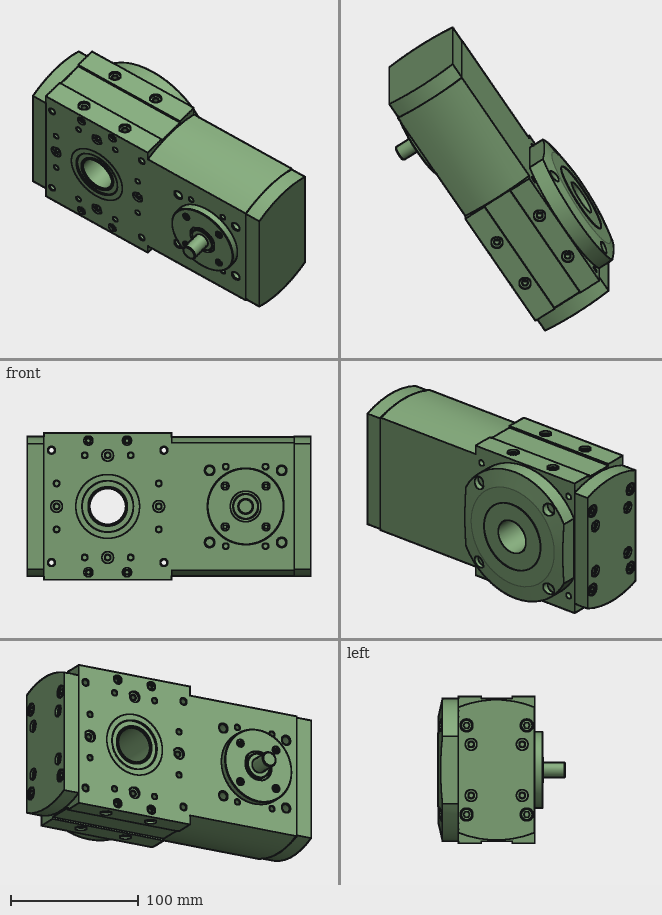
import cadquery as cq
total_length = 222.0
depth = 60.0

block_width = 100.0
block_height = 115.0
groove_width = 24.0
groove_depth = 1.5
arm_apex = 54.6
arm_corner = 50.0

cap_length = 13.0
cap_apex = 54.8
cap_corner = 49.0
cap_front_inset = 0.5
left_end = -block_width / 2 - cap_length
right_end = left_end + total_length
right_cap_start = right_end - cap_length
cap_screw_y = 23.5
cap_screw_z = 34.9
screw_bore_diameter = 10.0
screw_head_diameter = 8.5
screw_head_drop = 0.9
screw_bore_depth = 4.9
socket_across_corners = 4.9
socket_depth = 2.2

hub_diameter = 50.0
hub_recess_diameter = 40.0
hub_recess_depth = 1.3
hub_recess_chamfer = 0.2
hub_bore_diameter = 28.0
hub_collar_diameter = 30.9
hub_bore_chamfer = 0.9
flange_diameter = 111.9
flange_width = 98.8
flange_rim_height = 12.5
flange_face_height = 15.5
flange_face_diameter = 84.0
flange_boss_diameter = 57.0
flange_boss_height = 16.0
flange_hole_offset = 35.0
flange_hole_diameter = 10.0
flange_hole_depth = 6.7

drive_x = 108.0
drive_flange_diameter = 60.0
drive_flange_height = 6.0
drive_flange_chamfer = 0.5
drive_groove_diameter = 24.0
drive_groove_depth = 2.2
drive_boss_diameter = 20.0
drive_boss_height = 6.5
drive_boss_chamfer = 0.5
shaft_diameter = 12.0
shaft_reach = 23.5
shaft_chamfer = 0.7

thread_diameter = 4.2
thread_mouth = 4.9
thread_depth = 10.0
small_thread_diameter = 3.3
small_thread_mouth = 4.2
through_diameter = 4.9
through_mouth = 6.0
sleeve_diameter = 9.0
small_sleeve_diameter = 7.0
sleeve_depth = 2.0
dowel_diameter = 6.7
dowel_mouth = 8.0
dowel_depth = 10.0

corner_hole_offset = 44.0
ring_offset = 40.0
ring_side_offset = 18.0
edge_hole_x = 15.0
edge_hole_z = 51.5
face_sleeve_offset = 20.0
drive_screw_offset = 16.0
drive_screw_diameter = 6.0
drive_screw_recess_depth = 0.9
drive_socket_across_corners = 3.3
drive_dowel_offset = 28.2
drive_thread_x = 15.5
drive_thread_z = 31.0


def four_signs(u, v):
    """The four points (+-u, +-v)."""
    return [(su * u, sv * v) for su in (1, -1) for sv in (1, -1)]


inward = cq.Vector(0, 1, 0)


def front_point(x, z):
    """A point on the front face of the housing."""
    return cq.Vector(x, 0, z)


def mouthed_hole(point, direction, diameter, mouth, length):
    """A flat-bottomed hole with a 45 degree chamfer at its mouth."""
    bore = cq.Solid.makeCylinder(diameter / 2, length, point, direction)
    chamfer = cq.Solid.makeCone(mouth / 2, diameter / 2, (mouth - diameter) / 2, point, direction)
    return bore.fuse(chamfer)


def threaded_hole(point, direction):
    return mouthed_hole(point, direction, thread_diameter, thread_mouth, thread_depth)


def sleeve_hole(point, direction):
    """A threaded hole at the floor of a shallow counterbore for a centring sleeve."""
    counterbore = cq.Solid.makeCylinder(sleeve_diameter / 2, sleeve_depth, point, direction)
    return threaded_hole(point + direction * sleeve_depth, direction).fuse(counterbore)


def small_sleeve_hole(point, direction):
    """A narrower sleeve hole with a smaller thread."""
    counterbore = cq.Solid.makeCylinder(small_sleeve_diameter / 2, sleeve_depth, point, direction)
    floor = point + direction * sleeve_depth
    thread = mouthed_hole(floor, direction, small_thread_diameter, small_thread_mouth, thread_depth)
    return thread.fuse(counterbore)


def front_disc(x, diameter, start, end):
    """A round disc along Y at X = x, between Y = start and Y = end."""
    return cq.Workplane("XZ", origin=(x, start, 0)).circle(diameter / 2).extrude(start - end)


def curved_profile(start_x, length, front, apex, corner):
    """A bar along X whose top and bottom faces are shallow arcs."""
    middle = depth / 2
    return (
        cq.Workplane("YZ", origin=(start_x, 0, 0))
        .moveTo(front, -corner)
        .lineTo(front, corner)
        .threePointArc((middle, apex), (depth, corner))
        .lineTo(depth, -corner)
        .threePointArc((middle, -apex), (front, -corner))
        .close()
        .extrude(length)
    )



def gear_block():
    block = cq.Workplane("XY").box(block_width, depth, block_height).translate((0, depth / 2, 0))
    for side in (1, -1):
        groove = cq.Workplane("XY").box(block_width, groove_width, 2 * groove_depth)
        block = block.cut(groove.translate((0, depth / 2, side * block_height / 2)))
    return block


def drive_flange():
    """Round flange with an annular groove around the shaft shoulder, and the shaft."""
    flange = front_disc(drive_x, drive_flange_diameter, 0, -drive_flange_height)
    flange = flange.faces("<Y").chamfer(drive_flange_chamfer)
    groove_floor = drive_groove_depth - drive_flange_height
    groove = front_disc(drive_x, drive_groove_diameter, groove_floor, -drive_flange_height)
    shoulder = front_disc(drive_x, drive_boss_diameter, groove_floor, -drive_boss_height)
    shoulder = shoulder.faces("<Y").chamfer(drive_boss_chamfer)
    shaft = front_disc(drive_x, shaft_diameter, -drive_boss_height, -shaft_reach)
    shaft = shaft.faces("<Y").chamfer(shaft_chamfer)
    return flange.cut(groove).union(shoulder).union(shaft)


def block_holes():
    """Holes in the front face of the gear block."""
    holes = []
    for x, z in four_signs(corner_hole_offset, corner_hole_offset):
        holes.append(mouthed_hole(front_point(x, z), inward, through_diameter, through_mouth, depth))
    threads = four_signs(ring_offset, ring_side_offset) + four_signs(ring_side_offset, ring_offset)
    holes += [threaded_hole(front_point(x, z), inward) for x, z in threads]
    for x, z in four_signs(edge_hole_x, edge_hole_z):
        holes.append(small_sleeve_hole(front_point(x, z), inward))
    for x, z in [(ring_offset, 0), (-ring_offset, 0), (0, ring_offset), (0, -ring_offset)]:
        holes.append(sleeve_hole(front_point(x, z), inward))
    return holes


def rail_holes():
    """Sleeve holes in the top and bottom faces of the gear block."""
    holes = []
    for x, y in four_signs(face_sleeve_offset, face_sleeve_offset):
        for side in (1, -1):
            point = cq.Vector(x, depth / 2 + y, side * block_height / 2)
            holes.append(sleeve_hole(point, cq.Vector(0, 0, -side)))
    return holes


def drive_holes():
    """Dowel holes and threaded holes around the drive flange."""
    holes = []
    for x, z in four_signs(drive_dowel_offset, drive_dowel_offset):
        point = front_point(drive_x + x, z)
        holes.append(mouthed_hole(point, inward, dowel_diameter, dowel_mouth, dowel_depth))
    for x, z in four_signs(drive_thread_x, drive_thread_z):
        holes.append(threaded_hole(front_point(drive_x + x, z), inward))
    return holes


def drive_screw_recesses():
    """Shallow round recess over a hexagon socket for each screw of the drive flange."""
    recesses = []
    recess_y = -drive_flange_height
    floor_y = recess_y + drive_screw_recess_depth
    for x, z in four_signs(drive_screw_offset, drive_screw_offset):
        recess = front_disc(drive_x + x, drive_screw_diameter, recess_y, floor_y)
        socket = cq.Workplane("XZ", origin=(drive_x + x, floor_y, z))
        socket = socket.polygon(6, drive_socket_across_corners).extrude(-socket_depth)
        recesses.append(recess.translate((0, 0, z)).union(socket).val())
    return recesses


def make_housing():
    arm = curved_profile(0, right_cap_start, 0, arm_apex, arm_corner)
    housing = gear_block().union(arm).union(drive_flange())
    housing = housing.cut(front_disc(0, hub_diameter, 0, depth))
    holes = block_holes() + rail_holes() + drive_holes() + drive_screw_recesses()
    return housing.cut(cq.Compound.makeCompound(holes))




def cap_blank(start_x):
    return curved_profile(start_x, cap_length, cap_front_inset, cap_apex, cap_corner)


def make_screwed_cap():
    """Left cap: socket screw heads sunk in counterbores, and four sleeve holes."""
    cap = cap_blank(left_end)
    screw_spots = four_signs(cap_screw_y, cap_screw_z)
    head_height = screw_bore_depth - screw_head_drop

    def on_cap(x):
        return cq.Workplane("YZ", origin=(x, depth / 2, 0)).pushPoints(screw_spots)

    floor_x = left_end + screw_bore_depth
    head_x = left_end + screw_head_drop
    cap = cap.cut(on_cap(left_end).circle(screw_bore_diameter / 2).extrude(screw_bore_depth))
    cap = cap.union(on_cap(floor_x).circle(screw_head_diameter / 2).extrude(-head_height))
    cap = cap.cut(on_cap(head_x).polygon(6, socket_across_corners).extrude(socket_depth))
    for y, z in four_signs(face_sleeve_offset, face_sleeve_offset):
        point = cq.Vector(left_end, depth / 2 + y, z)
        cap = cap.cut(cq.Workplane(sleeve_hole(point, cq.Vector(1, 0, 0))))
    return cap


def make_plain_cap():
    return cap_blank(right_cap_start)




def make_hub():
    """Hollow hub through the housing with a tapered flange against the back face."""
    bore_radius = hub_bore_diameter / 2
    collar_radius = hub_collar_diameter / 2
    recess_radius = hub_recess_diameter / 2
    back = depth + flange_boss_height
    hub = (
        cq.Workplane("XY")
        .polyline(
            [
                (bore_radius, hub_bore_chamfer),
                (bore_radius + hub_bore_chamfer, 0),
                (collar_radius, 0),
                (collar_radius, hub_recess_depth),
                (recess_radius, hub_recess_depth),
                (recess_radius, hub_recess_chamfer),
                (recess_radius + hub_recess_chamfer, 0),
                (hub_diameter / 2, 0),
                (hub_diameter / 2, depth),
                (flange_diameter / 2, depth),
                (flange_diameter / 2, depth + flange_rim_height),
                (flange_face_diameter / 2, depth + flange_face_height),
                (flange_boss_diameter / 2, depth + flange_face_height),
                (flange_boss_diameter / 2, back),
                (bore_radius, back),
            ]
        )
        .close()
        .revolve(360, (0, 0, 0), (0, 1, 0))
    )
    side_limit = cq.Workplane("XY").box(flange_width, 2 * back, flange_diameter)
    hub = hub.intersect(side_limit)
    face_y = depth + flange_face_height
    for x, z in four_signs(flange_hole_offset, flange_hole_offset):
        hole = cq.Workplane("XZ", origin=(x, face_y, z)).circle(flange_hole_diameter / 2)
        hub = hub.cut(hole.extrude(flange_hole_depth))
    return hub


housing = make_housing()
screwed_cap = make_screwed_cap()
plain_cap = make_plain_cap()
hub = make_hub()

result = cq.Compound.makeCompound([housing.val(), screwed_cap.val(), plain_cap.val(), hub.val()])